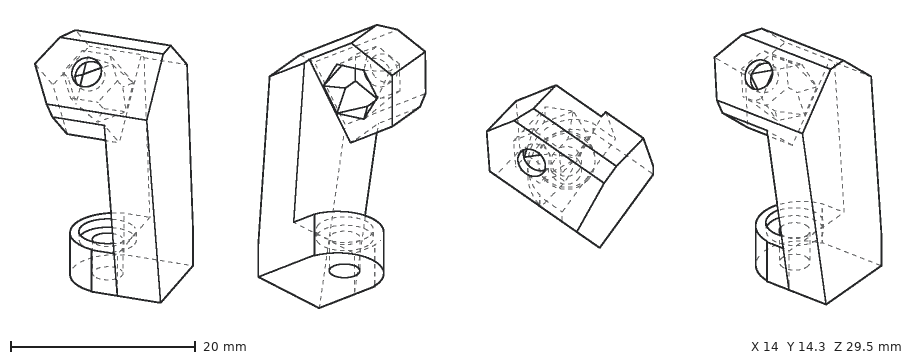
import cadquery as cq
import math

height = 29.5
head_tilt = math.radians(42.0)

arm_inner_x = 3.0
arm_outer_x = 8.02
head_tip_x = -6.0
head_bevel_x = -3.0

foot_half_width = 5.02
foot_straight_height = 3.98
back_corner_y, back_corner_z = 3.15, 24.95
front_corner_y, front_corner_z = -9.3, 23.85

lug_height = 5.02
lug_radius = foot_half_width
lug_arc_offset = 1.0
screw_radius = 1.65
counterbore_radius = 3.1
counterbore_depth = 1.0
counterbore_overcut = 0.1

head_length = 10.15
head_axis_drop = 4.93
head_thickness = 7.4
nut_sides = 6
corner_step = 2 * math.pi / nut_sides
nut_corner_radius = 3.15
nut_pocket_start = 1.4
nut_pocket_end = 3.6
funnel_corner_radius = 3.33


def side_profile():
    """Arm outline in YZ, extruded over the full X extent of the part."""
    ridge_front_y = front_corner_y + (height - front_corner_z) * math.tan(head_tilt)
    ridge_back_y = back_corner_y - (height - back_corner_z) / math.tan(head_tilt)
    outline = [
        (foot_half_width, 0),
        (foot_half_width, foot_straight_height),
        (back_corner_y, back_corner_z),
        (ridge_back_y, height),
        (ridge_front_y, height),
        (front_corner_y, front_corner_z),
        (-foot_half_width, 0),
    ]
    plane = cq.Workplane("YZ", origin=(head_tip_x, 0, 0))
    return plane.polyline(outline).close().extrude(arm_outer_x - head_tip_x)


def arm_slab():
    """Block that limits the side profile to the thickness of the arm."""
    return cq.Workplane("XY").box(
        arm_outer_x - arm_inner_x, 2 * height, height, centered=(False, True, False)
    ).translate((arm_inner_x, 0, 0))


def lug():
    """Round nose joined to a straight block that meets the arm."""
    block = cq.Workplane("XY").box(
        arm_inner_x, 2 * foot_half_width, lug_height, centered=(False, True, False)
    )
    nose = cq.Workplane("XY").center(lug_arc_offset, 0).circle(lug_radius).extrude(lug_height)
    nose_limit = cq.Workplane("XY").box(
        lug_radius, 2 * lug_radius, lug_height, centered=(False, True, False)
    ).translate((-lug_radius, 0, 0))
    return block.union(nose.intersect(nose_limit))


def head_plane():
    """Front face of the head: origin at its upper edge, local y up the face, normal outward."""
    up_y, up_z = math.sin(head_tilt), math.cos(head_tilt)
    rise = (back_corner_y - front_corner_y) * up_y + (back_corner_z - front_corner_z) * up_z
    origin = (0, front_corner_y + rise * up_y, front_corner_z + rise * up_z)
    return cq.Plane(origin=origin, xDir=(1, 0, 0), normal=(0, -up_z, up_y))


def head():
    """Tilted bar with a pointed end."""
    outline = [
        (arm_outer_x, 0),
        (head_bevel_x, 0),
        (head_tip_x, -head_axis_drop),
        (head_bevel_x, -head_length),
        (arm_outer_x, -head_length),
    ]
    return cq.Workplane(head_plane()).polyline(outline).close().extrude(-head_thickness)


def lug_bore():
    """Screw hole and counterbore; the counterbore rim also nicks the face of the arm."""
    hole = cq.Workplane("XY").circle(screw_radius).extrude(lug_height)
    counterbore = (
        cq.Workplane("XY", origin=(0, 0, lug_height - counterbore_depth))
        .circle(counterbore_radius)
        .extrude(counterbore_depth + counterbore_overcut)
    )
    return hole.union(counterbore)


def hexagon(plane, corner_radius, depth, first_corner_angle):
    """Corner points of a hexagon around the head's screw axis, at a depth below the front face."""
    corners = []
    for index in range(nut_sides):
        angle = first_corner_angle + index * corner_step
        local_x = corner_radius * math.cos(angle)
        local_y = corner_radius * math.sin(angle) - head_axis_drop
        corners.append(plane.toWorldCoords((local_x, local_y, -depth)))
    return corners


def nut_funnel(plane):
    """Flared mouth of the nut pocket: a hexagon turned by half a step at the back face,
    joined to the pocket hexagon by alternating triangles."""
    inner = hexagon(plane, nut_corner_radius, nut_pocket_end, 0)
    outer = hexagon(plane, funnel_corner_radius, head_thickness, corner_step / 2)
    outlines = [inner, outer]
    for index in range(nut_sides):
        following = (index + 1) % nut_sides
        outlines.append([inner[index], inner[following], outer[index]])
        outlines.append([outer[index], outer[following], inner[following]])
    faces = [cq.Face.makeFromWires(cq.Wire.makePolygon(points, close=True)) for points in outlines]
    return cq.Solid.makeSolid(cq.Shell.makeShell(faces))


def head_bore():
    """Screw hole from the front face into a hexagonal nut pocket that opens at the back."""
    plane = head_plane()
    face = cq.Workplane(plane).center(0, -head_axis_drop)
    hole = face.circle(screw_radius).extrude(-nut_pocket_start)
    pocket = (
        face.workplane(offset=-nut_pocket_start)
        .polygon(nut_sides, 2 * nut_corner_radius)
        .extrude(nut_pocket_start - nut_pocket_end)
    )
    return hole.union(pocket).union(cq.Workplane(nut_funnel(plane)))


blocks = arm_slab().union(lug()).union(head())
result = side_profile().intersect(blocks).cut(lug_bore()).cut(head_bore())